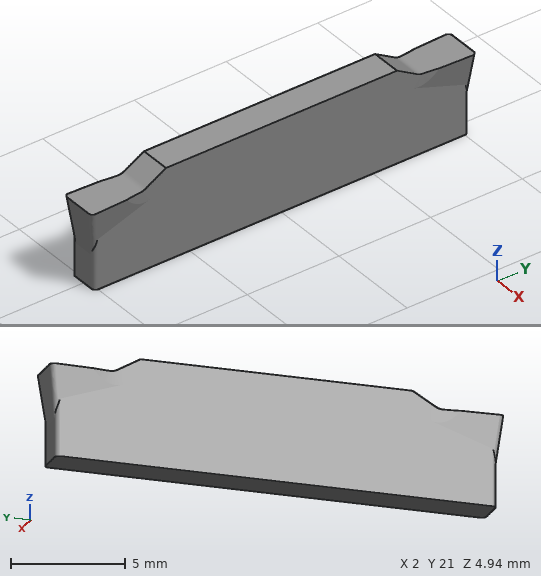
import cadquery as cq
import math

length = 21.0
tip_width = 2.0
height = 4.94

blade_width = 1.62
blade_setback = 0.3
corner_radius = 0.2

land_height = 4.22
relief_bottom = 1.78
flank_slope_back = 0.039
flank_slope_down = 0.115
flank_runout = 3.35
flank_blend_radius = 8.2

ramp_end = 4.2
ramp_angle = math.radians(30)
ramp_fillet_radius = 0.67

end_y = length / 2
tip_half_width = tip_width / 2 + flank_slope_back * corner_radius
blade_half_width = blade_width / 2
relief_slope = blade_setback / (land_height - relief_bottom)
edge_search_margin = 0.02


def make_side_profile():
    """Side outline with the lowered lands, extruded wider than the tips."""
    ramp_start = ramp_end - (height - land_height) / math.tan(ramp_angle)
    outline = [
        (-end_y, 0),
        (end_y, 0),
        (end_y, land_height),
        (end_y - ramp_start, land_height),
        (end_y - ramp_end, height),
        (ramp_end - end_y, height),
        (ramp_start - end_y, land_height),
        (-end_y, land_height),
    ]
    profile = cq.Workplane("YZ").polyline(outline).close().extrude(tip_width, both=True)
    foot = end_y - ramp_start
    foot_edges = cq.selectors.BoxSelector(
        (-tip_width, -foot - edge_search_margin, land_height - edge_search_margin),
        (tip_width, foot + edge_search_margin, land_height + edge_search_margin),
    )
    return profile.edges("|X").edges(foot_edges).fillet(ramp_fillet_radius)


def make_blade():
    """Straight-sided blade with rounded vertical corners."""
    blade = cq.Workplane("XY").box(
        blade_width, length - 2 * blade_setback, height, centered=(True, True, False)
    )
    return blade.edges("|Z").fillet(corner_radius)


def tip_section(z):
    """Trapezoid of the tip at -Y, narrowing towards the bottom and the middle."""
    drop = land_height - z
    front_y = -end_y + relief_slope * drop
    back_y = -end_y + flank_runout
    edge_half_width = tip_half_width - flank_slope_down * drop
    front_half = edge_half_width - flank_slope_back * (front_y + end_y)
    back_half = edge_half_width - flank_slope_back * flank_runout
    corners = [
        cq.Vector(-front_half, front_y, z),
        cq.Vector(front_half, front_y, z),
        cq.Vector(back_half, back_y, z),
        cq.Vector(-back_half, back_y, z),
    ]
    return cq.Wire.makePolygon(corners, close=True)


def make_flank_limit():
    """Plan outline of the tip whose concave arcs run out tangent to the blade sides."""
    back_y = -end_y + flank_runout
    arc_height = tip_width - blade_half_width
    arc_angle = math.acos(1 - arc_height / flank_blend_radius)

    def arc_point(angle):
        x = blade_half_width + flank_blend_radius * (1 - math.cos(angle))
        return x, back_y - flank_blend_radius * math.sin(angle)

    start_x, start_y = arc_point(arc_angle)
    middle_x, middle_y = arc_point(arc_angle / 2)
    return (
        cq.Workplane("XY")
        .moveTo(-start_x, start_y)
        .threePointArc((-middle_x, middle_y), (-blade_half_width, back_y))
        .lineTo(blade_half_width, back_y)
        .threePointArc((middle_x, middle_y), (start_x, start_y))
        .close()
        .extrude(height)
    )


def make_tip():
    """Tip at -Y with relieved front and sides and rounded front corners."""
    sections = [tip_section(relief_bottom), tip_section(height)]
    tip = cq.Workplane(cq.Solid.makeLoft(sections, True))
    front_corners = tip.faces("<Y").edges("not |X")
    return front_corners.fillet(corner_radius).intersect(make_flank_limit())


tip = make_tip()
opposite_tip = tip.rotate((0, 0, 0), (0, 0, 1), 180)
result = make_blade().union(tip).union(opposite_tip).intersect(make_side_profile())